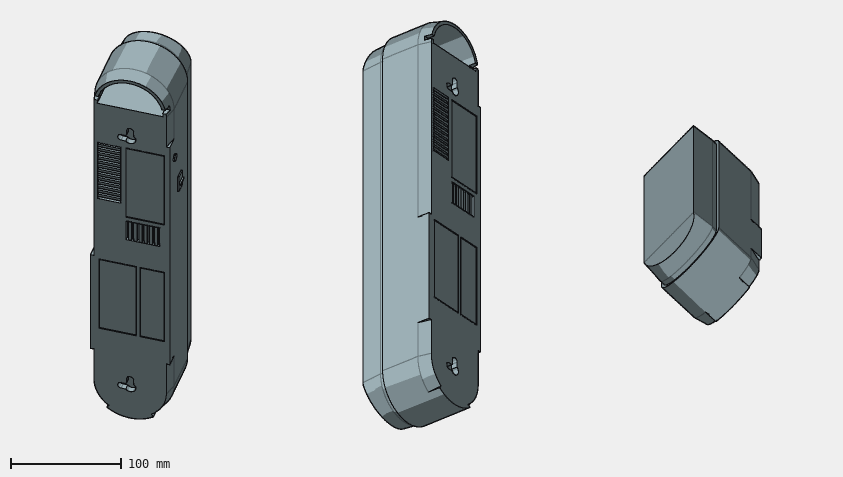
import cadquery as cq
import math


LENGTH = 407.0
END_RADIUS = 38.0
HOUSING_DEPTH = 53.7
END_CENTER_Z = LENGTH / 2 - END_RADIUS

CHAMFER_INSET = 3.3
CHAMFER_DEPTH = 13.0
CHAMFER_CLEARANCE = 4.0
LEFT_GRIP_TOP_Z = -17.5
RIGHT_GRIP_TOP_Z = 130.2
GRIP_BOTTOM_Z = -130.0
LOWER_CHAMFER_ANGLE = 54.0

POCKET_RADIUS = 31.5
POCKET_DEPTH = 40.5
NOTCH_BOTTOM_Z = 169.5
NOTCH_HEIGHT = 4.5
NOTCH_DEPTH = 7.0

KEYHOLE_CENTERS_Z = (130.5, -166.5)
KEYHOLE_RADIUS = 5.3
KEYHOLE_SLOT_WIDTH = 6.5
KEYHOLE_UP_REACH = 12.5
KEYHOLE_SIDE_REACH = 12.0
KEYHOLE_DEPTH = 6.0

VENT_SLOT_WIDTH = 2.0
VENT_BAR_LENGTH = 22.0
VENT_DEPTH = 3.3
VENT_BAR_DROP = 0.5
SIDE_VENT_SLOTS = 14
SIDE_VENT_HEIGHT = 66.7
SIDE_VENT_CENTER = (-20.0, 85.0)
LOWER_VENT_SLOTS = 7
LOWER_VENT_CENTER = (12.2, 20.5)
VENT_PITCH = (SIDE_VENT_HEIGHT - VENT_SLOT_WIDTH) / (SIDE_VENT_SLOTS - 1)
LOWER_VENT_WIDTH = (LOWER_VENT_SLOTS - 1) * VENT_PITCH + VENT_SLOT_WIDTH

PANEL_DEPTH = 1.0
PANEL_HEIGHT = 82.2
PANEL_RIGHT_X = 32.5
UPPER_PANEL_WIDTH = 36.5
UPPER_PANEL_CENTER_Z = 77.5
LOWER_PANEL_CENTER_Z = -62.3
NARROW_PANEL_WIDTH = 23.0
WIDE_PANEL_WIDTH = 35.5
PANEL_GAP = 3.5

CONTROL_HEIGHT = 1.2
SWITCH_WIDTH = 10.0
SWITCH_LENGTH = 17.0
SWITCH_CENTER_Y = 29.0
SWITCH_CENTER_Z = 67.0
LEVER_REACH = 3.0
LEVER_THICKNESS = 1.2
BUTTON_RADIUS = 3.5
BUTTON_CENTER_Y = 14.0
BUTTON_CENTER_Z = 107.5

COVER_INSET = 3.3
COVER_RADIUS = END_RADIUS - COVER_INSET
COVER_LIP = 5.0
COVER_DRAFT_DEPTH = 22.0
COVER_DRAFT_INSET = 2.0
COVER_DRAFT_ANGLE = math.degrees(math.atan(COVER_DRAFT_INSET / COVER_DRAFT_DEPTH))
COVER_TOP_Y = HOUSING_DEPTH + COVER_LIP + COVER_DRAFT_DEPTH
SLOPE_START_Z = 167.5
SLOPE_RUN = LENGTH / 2 - SLOPE_START_Z
SLOPE_DROP = 9.0


def plane_at(y):
    """Workplane parallel to the wall face; extruding by a negative length goes into the part."""
    return cq.Workplane("XZ", origin=(0, y, 0))


def stadium(y, radius):
    return plane_at(y).slot2D(2 * (END_CENTER_Z + radius), 2 * radius, 90)


def chamfer_profile(z):
    """Area that the chamfer removes from a section of the right side, at height z."""
    outer_x = END_RADIUS + CHAMFER_CLEARANCE
    return (
        cq.Workplane("XY", origin=(0, 0, z))
        .moveTo(END_RADIUS, CHAMFER_DEPTH)
        .lineTo(END_RADIUS - CHAMFER_INSET, 0)
        .lineTo(outer_x, 0)
        .lineTo(outer_x, CHAMFER_DEPTH)
        .close()
    )


def straight_chamfer(z_low, z_high):
    return chamfer_profile(z_low).extrude(z_high - z_low)


def end_chamfer(center_z, angle):
    """Chamfer around an end, turning downwards from the right side for a positive angle."""
    return chamfer_profile(center_z).revolve(abs(angle), (0, 0), (0, math.copysign(1, angle)))


def edge_chamfers():
    upper_end = end_chamfer(END_CENTER_Z, -90)
    lower_end = end_chamfer(-END_CENTER_Z, LOWER_CHAMFER_ANGLE)
    lower_side = straight_chamfer(-END_CENTER_Z, GRIP_BOTTOM_Z)
    right_side = straight_chamfer(RIGHT_GRIP_TOP_Z, END_CENTER_Z)
    left_side = straight_chamfer(LEFT_GRIP_TOP_Z, END_CENTER_Z).mirror("YZ")
    mirrored = [cut.mirror("YZ") for cut in (upper_end, lower_end, lower_side)]
    return [upper_end, lower_end, lower_side, right_side, left_side, *mirrored]


def end_pocket():
    pocket = (
        plane_at(0)
        .moveTo(-POCKET_RADIUS, END_CENTER_Z)
        .threePointArc((0, END_CENTER_Z + POCKET_RADIUS), (POCKET_RADIUS, END_CENTER_Z))
        .close()
        .extrude(-POCKET_DEPTH)
    )
    notch = recess(0, NOTCH_BOTTOM_Z + NOTCH_HEIGHT / 2, 2 * END_RADIUS, NOTCH_HEIGHT, NOTCH_DEPTH)
    return pocket.union(notch)


def recess(x, z, width, height, depth):
    return plane_at(0).center(x, z).rect(width, height).extrude(-depth)


def keyhole(z):
    tip_radius = KEYHOLE_SLOT_WIDTH / 2
    hole = plane_at(0).center(0, z).circle(KEYHOLE_RADIUS).extrude(-KEYHOLE_DEPTH)
    for reach, angle in ((KEYHOLE_UP_REACH, 90), (KEYHOLE_SIDE_REACH, 180)):
        direction = math.radians(angle)
        middle = (reach - tip_radius) / 2
        slot = (
            plane_at(0)
            .center(middle * math.cos(direction), z + middle * math.sin(direction))
            .slot2D(reach + tip_radius, KEYHOLE_SLOT_WIDTH, angle)
            .extrude(-KEYHOLE_DEPTH)
        )
        hole = hole.union(slot)
    return hole


def vent(center, width, height, slot_size, columns, rows):
    """Recess holding a grid of deeper slots, which leave the bars standing between them."""
    frame = recess(*center, width, height, VENT_BAR_DROP)
    slots = (
        plane_at(0)
        .center(*center)
        .rarray(VENT_PITCH, VENT_PITCH, columns, rows)
        .rect(*slot_size)
        .extrude(-VENT_DEPTH)
    )
    return frame.union(slots)


def side_vent():
    slot_size = (VENT_BAR_LENGTH, VENT_SLOT_WIDTH)
    return vent(SIDE_VENT_CENTER, VENT_BAR_LENGTH, SIDE_VENT_HEIGHT, slot_size, 1, SIDE_VENT_SLOTS)


def lower_vent():
    slot_size = (VENT_SLOT_WIDTH, VENT_BAR_LENGTH)
    return vent(LOWER_VENT_CENTER, LOWER_VENT_WIDTH, VENT_BAR_LENGTH, slot_size, LOWER_VENT_SLOTS, 1)


def panels():
    wide_panel_right_x = PANEL_RIGHT_X - NARROW_PANEL_WIDTH - PANEL_GAP
    layout = (
        (PANEL_RIGHT_X, UPPER_PANEL_WIDTH, UPPER_PANEL_CENTER_Z),
        (PANEL_RIGHT_X, NARROW_PANEL_WIDTH, LOWER_PANEL_CENTER_Z),
        (wide_panel_right_x, WIDE_PANEL_WIDTH, LOWER_PANEL_CENTER_Z),
    )
    return [recess(right - width / 2, z, width, PANEL_HEIGHT, PANEL_DEPTH) for right, width, z in layout]


def side_controls():
    side_face = cq.Workplane("YZ", origin=(END_RADIUS, 0, 0))
    switch = side_face.center(SWITCH_CENTER_Y, SWITCH_CENTER_Z)
    plate = switch.rect(SWITCH_WIDTH, SWITCH_LENGTH).extrude(CONTROL_HEIGHT)
    lever = switch.rect(SWITCH_WIDTH, LEVER_THICKNESS).extrude(LEVER_REACH)
    button = side_face.center(BUTTON_CENTER_Y, BUTTON_CENTER_Z).circle(BUTTON_RADIUS).extrude(CONTROL_HEIGHT)
    return [plate, lever, button]


def make_housing():
    body = stadium(0, END_RADIUS).extrude(-HOUSING_DEPTH)
    cuts = [*edge_chamfers(), end_pocket(), side_vent(), lower_vent(), *panels()]
    cuts += [keyhole(z) for z in KEYHOLE_CENTERS_Z]
    for cut in cuts:
        body = body.cut(cut)
    for control in side_controls():
        body = body.union(control)
    return body


def cover_end_slope():
    """Wedge that bevels the upper end of the cover."""
    return (
        cq.Workplane("YZ")
        .moveTo(COVER_TOP_Y, SLOPE_START_Z)
        .lineTo(COVER_TOP_Y - SLOPE_DROP, SLOPE_START_Z + SLOPE_RUN)
        .lineTo(COVER_TOP_Y, SLOPE_START_Z + SLOPE_RUN)
        .close()
        .extrude(END_RADIUS, both=True)
    )


def make_cover():
    lip = stadium(HOUSING_DEPTH, COVER_RADIUS).extrude(-COVER_LIP)
    shell = stadium(HOUSING_DEPTH + COVER_LIP, COVER_RADIUS).extrude(
        -COVER_DRAFT_DEPTH, taper=COVER_DRAFT_ANGLE
    )
    slope = cover_end_slope()
    return lip.union(shell).cut(slope).cut(slope.mirror("XY"))


housing = make_housing()
cover = make_cover()

result = cq.Compound.makeCompound([housing.val(), cover.val()])